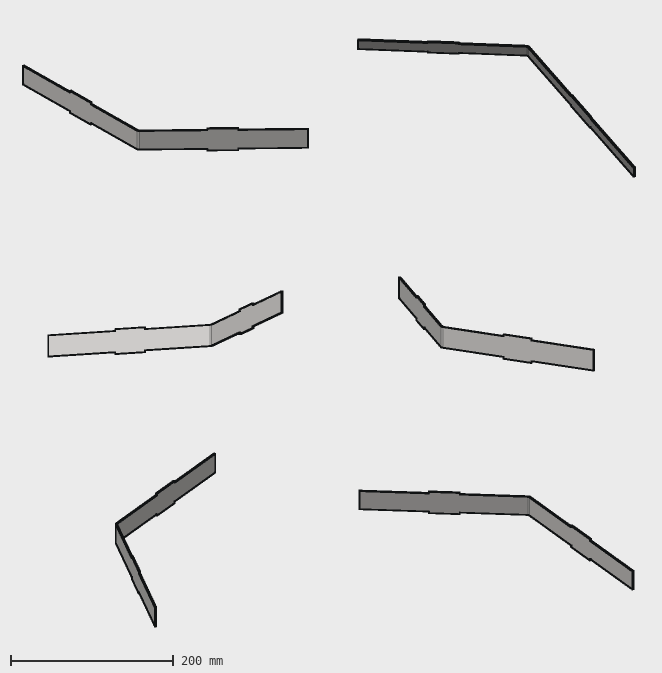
import cadquery as cq
import math

span = 382.0
leg_angle = 24.4
thickness = 2.0
strip_height = 26.7
tab_height = 31.5
tab_length = 38.0
outer_bend_radius = 4.5

inner_bend_radius = outer_bend_radius - thickness
slope = math.radians(leg_angle)
bend_half_width = outer_bend_radius * math.sin(slope)
leg_length = (span / 2 - bend_half_width) / math.cos(slope)
tab_center = (span / 4 - bend_half_width) / math.cos(slope)


def leg_plate(center, length, height):
    """Plate on the right leg, centred at a distance along it from the bend."""
    plate = cq.Workplane("XY").box(length, thickness, height)
    plate = plate.translate((center, -outer_bend_radius + thickness / 2, 0))
    return plate.rotate((0, 0, 0), (0, 0, 1), leg_angle)


def bend():
    """Curved strip joining the two legs at the front."""
    def on_bend(radius, side):
        return (side * radius * math.sin(slope), -radius * math.cos(slope))

    return (
        cq.Workplane("XY")
        .moveTo(*on_bend(outer_bend_radius, -1))
        .threePointArc((0, -outer_bend_radius), on_bend(outer_bend_radius, 1))
        .lineTo(*on_bend(inner_bend_radius, 1))
        .threePointArc((0, -inner_bend_radius), on_bend(inner_bend_radius, -1))
        .close()
        .extrude(strip_height / 2, both=True)
    )


right_leg = leg_plate(leg_length / 2, leg_length, strip_height)
right_leg = right_leg.union(leg_plate(tab_center, tab_length, tab_height))
left_leg = right_leg.mirror("YZ")

result = bend().union(right_leg).union(left_leg)